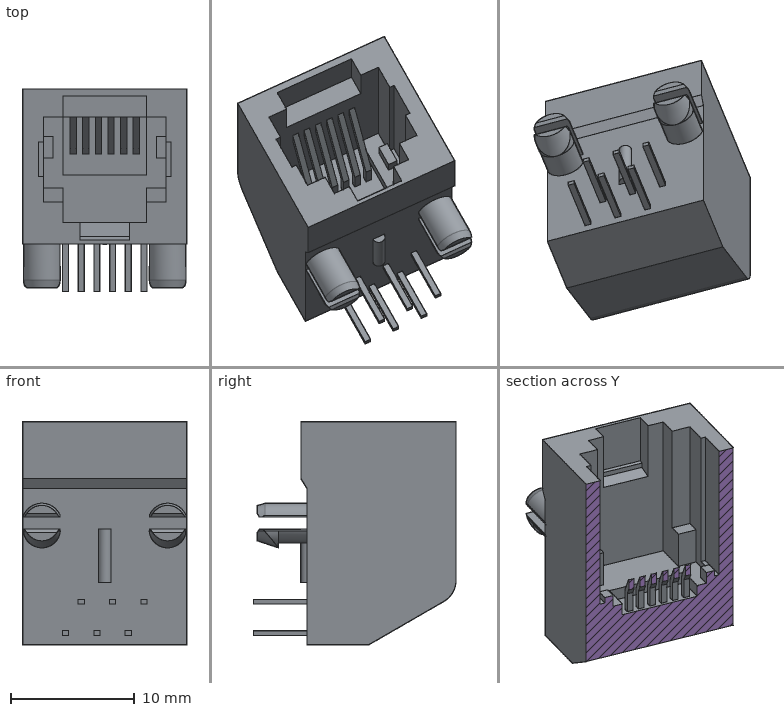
import cadquery as cq
import math


WIDTH = 13.28
DEPTH = 12.55
HEIGHT = 18.03
STANDOFF = 0.5
STEP_TOP = 13.43
STEP_BOTTOM = 12.62
FOOT_DEPTH = 5.5
BACK_SLOPE = 30.0
BACK_RADIUS = 2.0

OPENING_HALF = 4.95
KEY_HALF = 3.36
LATCH_HALF = 2.0
BACK_LIP = 0.6
LEDGE_DEPTH = 3.34
OPENING_BACK = 2.26
SHOULDER_BACK = 8.0
OPENING_FRONT = 9.14
KEY_FRONT = 10.78
FLOOR_Z = 6.0
SHOULDER_Z = 9.0
CONTACT_WELL_FRONT = 6.95
CONTACT_WELL_Z = 5.0

LATCH_STEP = 11.93
LATCH_FRONT = 12.22
LATCH_FLOOR_Z = 14.0
LATCH_STEP_HEIGHT = 0.4
LATCH_TILT = 12.0

GROOVE_DEPTH = 0.39
GROOVE_BACK = 4.29
GROOVE_FRONT = 7.1
GROOVE_FLOOR_Z = 6.5
PAD_WIDTH = 0.77
PAD_BACK = 3.86
PAD_FRONT = 5.59
PAD_HEIGHT = 1.0

CONTACTS = 6
CONTACT_PITCH = 1.02
CONTACT_WIDTH = 0.5
CONTACT_THICKNESS = 0.45
CONTACT_TOP_Z = 12.7
CONTACT_END = 5.28
CONTACT_SLOPE = 63.0

PIN_PITCH = 1.27
PIN_WIDTH = 0.5
PIN_HEIGHT = 0.4
OVERALL_DEPTH = 16.38
PIN_LENGTH = OVERALL_DEPTH - DEPTH + STANDOFF
LOWER_ROW_Z = 0.94
UPPER_ROW_Z = LOWER_ROW_Z + 2 * PIN_PITCH

POST_X = 5.08
POST_Z = 9.83
POST_RADIUS = 1.61
POST_HALF_WIDTH = 1.48
POST_LENGTH = 4.02
POST_TIP_RADIUS = 1.43
POST_TIP_LENGTH = 0.62
SLOT_HALF = 0.48
SLOT_BEVEL_HEIGHT = 0.29
SLOT_BEVEL_LENGTH = 0.18
BARB_LENGTH = 1.71
BARB_RADIUS = 1.5
BARB_DROP = 0.5
BARB_CONE_RADIUS = BARB_RADIUS + BARB_DROP

RIB_WIDTH = 1.04
RIB_BOTTOM = 5.03
RIB_TOP = 9.36

EMBED = 0.5

WALL_Y = STANDOFF
POST_TIP_Y = WALL_Y - POST_LENGTH


def box(x0, x1, y0, y1, z0, z1):
    """Box spanning the given limits."""
    return cq.Workplane("XY").box(x1 - x0, y1 - y0, z1 - z0, centered=False).translate((x0, y0, z0))


def profile(points, half_width):
    """Closed (y, z) outline extruded evenly to both sides of x = 0."""
    return cq.Workplane("YZ").polyline(points).close().extrude(half_width, both=True)


def well(half_width, back, front, floor):
    """Centred pocket open at the top; back and front are distances from the back face."""
    return box(-half_width, half_width, DEPTH - front, DEPTH - back, floor, HEIGHT)


def rod(radius, tip_radius, y_start, length):
    """Round rod or cone on the post axis, running toward -Y from y_start."""
    outline = [(0, 0), (radius, 0), (tip_radius, length), (0, length)]
    solid = cq.Workplane("XY").polyline(outline).close().revolve(360, (0, 0, 0), (0, 1, 0))
    return solid.rotate((0, 0, 0), (0, 0, 1), 180).translate((0, y_start, 0))


def make_housing():
    back_edge_z = (DEPTH - FOOT_DEPTH) * math.tan(math.radians(BACK_SLOPE))
    outline = [
        (WALL_Y, 0), (FOOT_DEPTH, 0), (DEPTH, back_edge_z), (DEPTH, HEIGHT),
        (0, HEIGHT), (0, STEP_TOP), (WALL_Y, STEP_BOTTOM),
    ]
    edge = cq.selectors.NearestToPointSelector((0, DEPTH, back_edge_z))
    return profile(outline, WIDTH / 2).edges(edge).fillet(BACK_RADIUS)


def make_latch_channel():
    front = DEPTH - LATCH_FRONT
    step = DEPTH - LATCH_STEP
    back = DEPTH - KEY_FRONT
    rise = math.tan(math.radians(LATCH_TILT))
    step_z = LATCH_FLOOR_Z - (step - front) * rise
    lower_z = step_z - LATCH_STEP_HEIGHT
    outline = [
        (front, HEIGHT), (front, LATCH_FLOOR_Z), (step, step_z),
        (step, lower_z), (back, lower_z - (back - step) * rise), (back, HEIGHT),
    ]
    return profile(outline, LATCH_HALF)


def cut_opening(body):
    body = body.cut(well(KEY_HALF, BACK_LIP, OPENING_BACK, HEIGHT - LEDGE_DEPTH))
    body = body.cut(well(OPENING_HALF, OPENING_BACK, SHOULDER_BACK, FLOOR_Z))
    body = body.cut(well(OPENING_HALF, SHOULDER_BACK, OPENING_FRONT, SHOULDER_Z))
    body = body.cut(well(KEY_HALF, SHOULDER_BACK, KEY_FRONT, FLOOR_Z))
    body = body.cut(well(KEY_HALF, OPENING_BACK, CONTACT_WELL_FRONT, CONTACT_WELL_Z))
    body = body.cut(well(OPENING_HALF + GROOVE_DEPTH, GROOVE_BACK, GROOVE_FRONT, GROOVE_FLOOR_Z))
    return body.cut(make_latch_channel())


def make_pad(side):
    inner = OPENING_HALF - PAD_WIDTH
    pad = box(inner, OPENING_HALF, DEPTH - PAD_FRONT, DEPTH - PAD_BACK, FLOOR_Z - EMBED, FLOOR_Z + PAD_HEIGHT)
    return pad if side > 0 else pad.mirror("YZ")


def make_contact(x):
    slope = math.tan(math.radians(CONTACT_SLOPE))
    drop = CONTACT_THICKNESS / math.cos(math.radians(CONTACT_SLOPE))
    wall = DEPTH - OPENING_BACK
    end = DEPTH - CONTACT_END
    root = wall + EMBED
    bend = end + CONTACT_THICKNESS
    foot_z = CONTACT_WELL_Z - EMBED

    def top_z(y):
        return CONTACT_TOP_Z - (wall - y) * slope

    outline = [
        (wall, top_z(wall)), (end, top_z(end)), (end, foot_z), (bend, foot_z),
        (bend, top_z(bend) - drop), (wall, top_z(wall) - drop),
        (root, top_z(wall) - drop), (root, top_z(wall)),
    ]
    return profile(outline, CONTACT_WIDTH / 2).translate((x, 0, 0))


def make_pin(x, z):
    half_width = PIN_WIDTH / 2
    half_height = PIN_HEIGHT / 2
    pin = box(-half_width, half_width, WALL_Y - PIN_LENGTH, WALL_Y + EMBED, -half_height, half_height)
    return pin.translate((x, 0, z))


def make_barb(flat_z):
    barb_start = POST_TIP_Y + BARB_LENGTH
    cone = rod(BARB_CONE_RADIUS, POST_TIP_RADIUS, barb_start, BARB_LENGTH)
    sleeve = rod(BARB_RADIUS, BARB_RADIUS, barb_start, BARB_LENGTH).translate((0, 0, -BARB_DROP))
    below_flats = box(-POST_X, POST_X, POST_TIP_Y, barb_start, -2 * BARB_CONE_RADIUS, -flat_z)
    return cone.intersect(sleeve).intersect(below_flats)


def make_post(x):
    shank_end = POST_TIP_Y + POST_TIP_LENGTH
    start = WALL_Y + EMBED
    shank = rod(POST_RADIUS, POST_RADIUS, start, start - shank_end)
    tip = rod(POST_RADIUS, POST_TIP_RADIUS, shank_end, POST_TIP_LENGTH)
    flats = box(-POST_HALF_WIDTH, POST_HALF_WIDTH, POST_TIP_Y, start, -POST_RADIUS, POST_RADIUS)
    flat_z = math.sqrt(POST_RADIUS**2 - POST_HALF_WIDTH**2)
    post = shank.union(tip).intersect(flats).union(make_barb(flat_z))

    mouth = SLOT_HALF + SLOT_BEVEL_HEIGHT
    bevel_y = POST_TIP_Y + SLOT_BEVEL_LENGTH
    slot = [
        (WALL_Y, -SLOT_HALF), (bevel_y, -SLOT_HALF), (POST_TIP_Y, -mouth),
        (POST_TIP_Y, mouth), (bevel_y, SLOT_HALF), (WALL_Y, SLOT_HALF),
    ]
    return post.cut(profile(slot, POST_X)).translate((x, 0, POST_Z))


def make_rib():
    rib = cq.Workplane("XY").circle(RIB_WIDTH / 2).extrude(RIB_TOP - RIB_BOTTOM)
    return rib.translate((0, WALL_Y, RIB_BOTTOM))


result = cut_opening(make_housing())
for side in (-1, 1):
    result = result.union(make_pad(side))
    result = result.union(make_post(side * POST_X))
for index in range(CONTACTS):
    offset = index - (CONTACTS - 1) / 2
    row_z = UPPER_ROW_Z if index % 2 else LOWER_ROW_Z
    result = result.union(make_contact(offset * CONTACT_PITCH))
    result = result.union(make_pin(offset * PIN_PITCH, row_z))
result = result.union(make_rib())